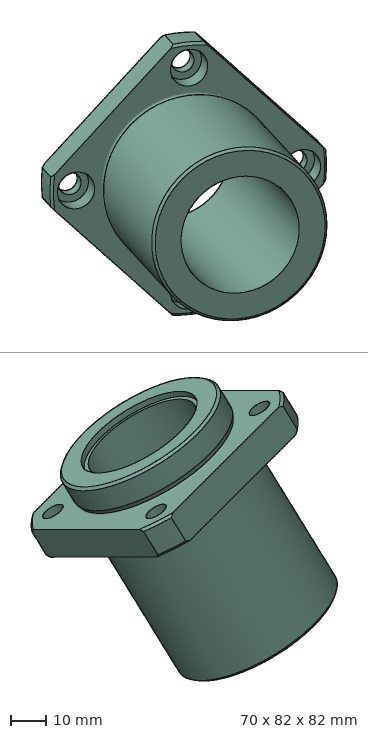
import cadquery as cq
import math

sleeve_length = 70.0
sleeve_diameter = 52.0
end_chamfer = 0.8
bore_diameter = 35.0
recess_diameter = 37.6
recess_depth = 1.8

flange_start = 10.0
flange_thickness = 10.0
flange_side = 64.0
flange_corner_diameter = 82.0
flange_corner_chamfer = 0.8

groove_width = 2.0
groove_depth = 0.6

hole_count = 4
hole_diameter = 6.6
hole_circle_diameter = 67.0
counterbore_diameter = 11.0
counterbore_depth = 6.1

sleeve_radius = sleeve_diameter / 2
flange_end = flange_start + flange_thickness
counterbore_start = flange_end - counterbore_depth


def cylinder(diameter, start, length):
    """Solid cylinder on the X axis beginning at the given X."""
    return cq.Workplane("YZ", origin=(start, 0, 0)).circle(diameter / 2).extrude(length)


def make_sleeve():
    body = cylinder(sleeve_diameter, 0, sleeve_length)
    return body.faces("<X or >X").edges().chamfer(end_chamfer)


def make_flange():
    square = (
        cq.Workplane("YZ", origin=(flange_start, 0, 0))
        .rect(flange_side, flange_side)
        .extrude(flange_thickness)
        .rotate((0, 0, 0), (1, 0, 0), 45)
    )
    turned_disc = cylinder(flange_corner_diameter, flange_start, flange_thickness)
    turned_disc = turned_disc.faces("<X or >X").edges().chamfer(flange_corner_chamfer)
    return square.intersect(turned_disc)


def make_groove(flange_face, direction):
    """Ring to cut: a taper into the sleeve, then a quarter arc back up to the flange face."""
    floor_radius = sleeve_radius - groove_depth
    arc_drop = groove_depth * (1 - math.sqrt(0.5))
    arc_start = (flange_face + direction * groove_depth, floor_radius)
    arc_middle = (flange_face + direction * arc_drop, floor_radius + arc_drop)
    arc_end = (flange_face, sleeve_radius)
    return (
        cq.Workplane("XY")
        .moveTo(flange_face + direction * groove_width, sleeve_radius)
        .lineTo(*arc_start)
        .threePointArc(arc_middle, arc_end)
        .close()
        .revolve(360, (0, 0, 0), (1, 0, 0))
    )


def hole_cylinders(diameter, start, length):
    """One cylinder at every screw position, pointing along X."""
    return (
        cq.Workplane("YZ", origin=(start, 0, 0))
        .polarArray(hole_circle_diameter / 2, 0, 360, hole_count)
        .circle(diameter / 2)
        .extrude(length)
    )


result = make_sleeve().union(make_flange())
result = result.cut(make_groove(flange_start, -1))
result = result.cut(make_groove(flange_end, 1))
result = result.cut(hole_cylinders(hole_diameter, flange_start, flange_thickness))
result = result.cut(hole_cylinders(counterbore_diameter, counterbore_start, counterbore_depth))
result = result.cut(cylinder(bore_diameter, 0, sleeve_length))
result = result.cut(cylinder(recess_diameter, 0, recess_depth))